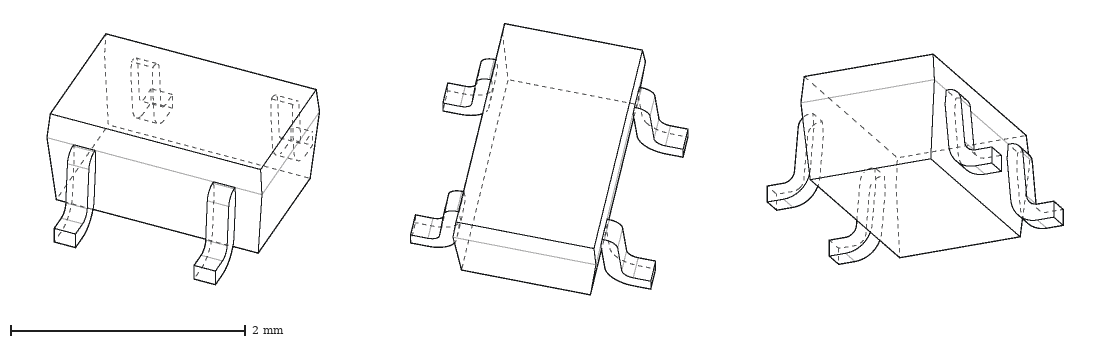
import cadquery as cq
import math

body_length = 2.0
body_width = 1.25
body_top = 1.0
body_bottom = 0.05
parting_height = 0.75
draft_angle = 5.0

lead_span = 2.1
lead_width = 0.2
lead_thickness = 0.15
lead_pitch = 1.3
foot_length = 0.153
foot_bend_radius = 0.1
shoulder_radius = 0.118
shank_lean = 5.0

draft_slope = math.tan(math.radians(draft_angle))
lean_cos = math.cos(math.radians(shank_lean))
lean_sin = math.sin(math.radians(shank_lean))
lean_slope = lean_sin / lean_cos


def make_body():
    """Body that narrows upward and downward from its widest parting plane."""
    parting_plane = cq.Workplane("XY", origin=(0, 0, parting_height))
    upper_height = body_top - parting_height
    lower_height = parting_height - body_bottom
    upper = parting_plane.rect(body_length, body_width).extrude(upper_height, taper=draft_angle)
    underside = cq.Workplane(cq.Plane((0, 0, parting_height), xDir=(1, 0, 0), normal=(0, 0, -1)))
    lower = underside.rect(body_length, body_width).extrude(lower_height, taper=draft_angle)
    return upper.union(lower)


def arc_point(center, radius, degrees):
    """Point (y, z) on a circle at an angle measured from +Y toward +Z."""
    angle = math.radians(degrees)
    return (center[0] + radius * math.cos(angle), center[1] + radius * math.sin(angle))


def make_lead(x_center):
    """Lead on the +Y side: foot, bend, leaning shank and rounded shoulder."""
    toe = lead_span / 2
    outer_bend_radius = foot_bend_radius + lead_thickness
    bend_center = (toe - foot_length, outer_bend_radius)

    bend_end = 180 + shank_lean
    bend_middle = (270 + bend_end) / 2

    shank_foot = arc_point(bend_center, foot_bend_radius, bend_end)
    shoulder_center_z = parting_height - shoulder_radius
    shoulder_center_y = (
        shank_foot[0]
        - (shoulder_center_z - shank_foot[1]) * lean_slope
        - shoulder_radius / lean_cos
    )
    shoulder_center = (shoulder_center_y, shoulder_center_z)
    shoulder_middle = (90 + shank_lean) / 2

    inner_foot = arc_point(bend_center, outer_bend_radius, bend_end)
    wall_y_at_ground = body_width / 2 - parting_height * draft_slope
    inner_y_at_ground = inner_foot[0] + inner_foot[1] * lean_slope
    meet_z = (inner_y_at_ground - wall_y_at_ground) / (draft_slope + lean_slope)
    meet_y = wall_y_at_ground + meet_z * draft_slope

    profile = (
        cq.Workplane("YZ", origin=(x_center - lead_width / 2, 0, 0))
        .moveTo(toe, 0)
        .lineTo(toe, lead_thickness)
        .lineTo(bend_center[0], lead_thickness)
        .threePointArc(arc_point(bend_center, foot_bend_radius, bend_middle), shank_foot)
        .lineTo(*arc_point(shoulder_center, shoulder_radius, shank_lean))
        .threePointArc(
            arc_point(shoulder_center, shoulder_radius, shoulder_middle),
            (shoulder_center_y, parting_height),
        )
        .lineTo(body_width / 2, parting_height)
        .lineTo(meet_y, meet_z)
        .lineTo(*inner_foot)
        .threePointArc(
            arc_point(bend_center, outer_bend_radius, bend_middle),
            (bend_center[0], 0),
        )
        .close()
    )
    return profile.extrude(lead_width)


body = make_body()

leads = []
for x_center in (-lead_pitch / 2, lead_pitch / 2):
    for turn in (0, 180):
        lead = make_lead(x_center).rotate((0, 0, 0), (0, 0, 1), turn)
        leads.append(lead.val())

result = cq.Compound.makeCompound([body.val(), *leads])